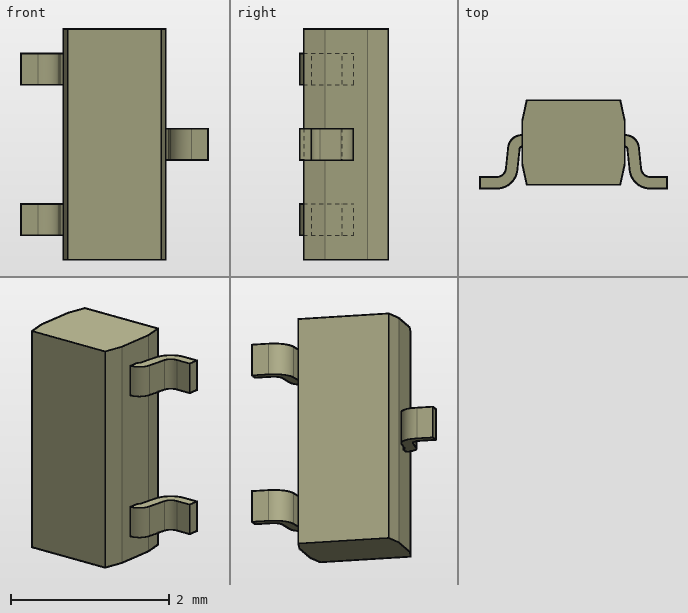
import cadquery as cq
import math

BODY_LENGTH = 2.92
BODY_WIDTH = 1.302
BODY_FACE_WIDTH = 1.185
TOTAL_HEIGHT = 1.12
STANDOFF = 0.05

LEAD_SPAN = 2.37
LEAD_WIDTH = 0.4
LEAD_THICKNESS = 0.15
LEAD_TOP = 0.68
LEAD_OFFSET = 0.952
LEG_TILT = 6.0
SHOULDER_INNER_RADIUS = 0.03
FOOT_INNER_RADIUS = 0.117

MOUNT_Y = -TOTAL_HEIGHT / 2
BODY_HEIGHT = TOTAL_HEIGHT - STANDOFF
TAPER_HEIGHT = BODY_HEIGHT / 4


def extrude_centered(outline, length, middle_z=0):
    """Extrude an XY outline along Z, equally to both sides of middle_z."""
    return outline.extrude(length).translate((0, 0, middle_z - length / 2))


def make_housing():
    """Moulded body with sides that taper towards both wide faces."""
    front_y = MOUNT_Y + STANDOFF
    back_y = front_y + BODY_HEIGHT
    half_width = BODY_WIDTH / 2
    half_face = BODY_FACE_WIDTH / 2
    outline = (
        cq.Workplane("XY")
        .moveTo(-half_face, front_y)
        .lineTo(half_face, front_y)
        .lineTo(half_width, front_y + TAPER_HEIGHT)
        .lineTo(half_width, back_y - TAPER_HEIGHT)
        .lineTo(half_face, back_y)
        .lineTo(-half_face, back_y)
        .lineTo(-half_width, back_y - TAPER_HEIGHT)
        .lineTo(-half_width, front_y + TAPER_HEIGHT)
        .close()
    )
    return extrude_centered(outline, BODY_LENGTH)


def make_lead(middle_z):
    """Gull-wing lead on the +X side, ending flush against the housing."""
    tilt = math.radians(LEG_TILT)
    shoulder_outer_radius = SHOULDER_INNER_RADIUS + LEAD_THICKNESS
    foot_outer_radius = FOOT_INNER_RADIUS + LEAD_THICKNESS
    tip_x = LEAD_SPAN / 2

    shoulder_x = BODY_WIDTH / 2
    shoulder_y = MOUNT_Y + LEAD_TOP - shoulder_outer_radius
    foot_y = MOUNT_Y + foot_outer_radius
    drop = shoulder_y - foot_y
    bend_reach = shoulder_outer_radius + FOOT_INNER_RADIUS
    foot_x = shoulder_x + (bend_reach + drop * math.sin(tilt)) / math.cos(tilt)

    def on_shoulder(radius, angle):
        return (shoulder_x + radius * math.cos(angle), shoulder_y + radius * math.sin(angle))

    def on_foot(radius, angle):
        return (foot_x - radius * math.cos(angle), foot_y - radius * math.sin(angle))

    bend_end = math.pi / 2
    bend_middle = (tilt + bend_end) / 2
    outline = (
        cq.Workplane("XY")
        .moveTo(*on_shoulder(shoulder_outer_radius, bend_end))
        .threePointArc(
            on_shoulder(shoulder_outer_radius, bend_middle), on_shoulder(shoulder_outer_radius, tilt)
        )
        .lineTo(*on_foot(FOOT_INNER_RADIUS, tilt))
        .threePointArc(on_foot(FOOT_INNER_RADIUS, bend_middle), on_foot(FOOT_INNER_RADIUS, bend_end))
        .lineTo(tip_x, MOUNT_Y + LEAD_THICKNESS)
        .lineTo(tip_x, MOUNT_Y)
        .lineTo(*on_foot(foot_outer_radius, bend_end))
        .threePointArc(on_foot(foot_outer_radius, bend_middle), on_foot(foot_outer_radius, tilt))
        .lineTo(*on_shoulder(SHOULDER_INNER_RADIUS, tilt))
        .threePointArc(
            on_shoulder(SHOULDER_INNER_RADIUS, bend_middle), on_shoulder(SHOULDER_INNER_RADIUS, bend_end)
        )
        .close()
    )
    return extrude_centered(outline, LEAD_WIDTH, middle_z)


housing = make_housing()

leads = [make_lead(0)]
for lead_z in (-LEAD_OFFSET, LEAD_OFFSET):
    leads.append(make_lead(lead_z).mirror("YZ"))

result = cq.Compound.makeCompound([housing.val(), *[lead.val() for lead in leads]])